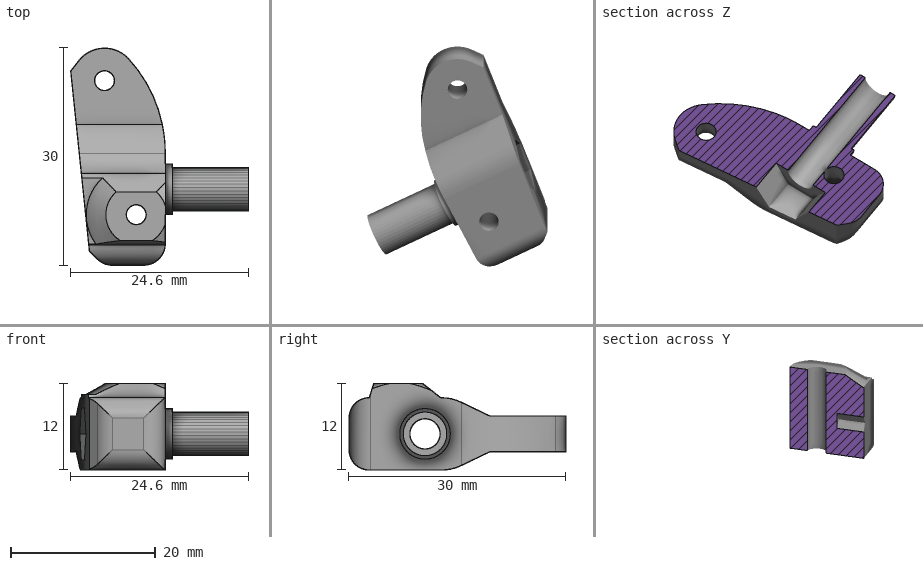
import cadquery as cq
import math


arm_end_y = -10.5
eye_x, eye_y = -8.4, 15.0
eye_radius = 4.5
back_start_y = 5.0
toe_radius = 3.0
toe_flat_x = -7.3
heel_corner = (-10.5, -8.55)
tip_corner = (-13.08, 16.3)

body_half_height = 5.0
tongue_half_height = 2.5
tongue_end_y = 8.95
shoulder_angle = 25.6
shoulder_radius = 6.3
end_round = 2.82

boss_x, boss_y = -4.02, -3.5
boss_top_z = 7.0
boss_step_z = 5.45
boss_top_radius = 4.2
boss_base_radius = 6.9
boss_foot_z = 4.8
boss_foot_y = (-7.77, 2.43)
boss_top_y = (-7.08, -0.35)

pin_hole_diameter = 2.7
bore_diameter = 4.15
hex_across_flats = 7.15
hex_floor_x = -7.05

collar_diameter = 7.0
collar_length = 0.95
shaft_end_x = 11.5
shaft_across_flats = 6.0
shaft_facets = 40


def point_on_circle(center, radius, angle):
    return (center[0] + radius * math.cos(angle), center[1] + radius * math.sin(angle))


def tangent_angle(point, center, radius, side):
    """Angle, seen from the center, of the tangent point of a line drawn from an outside point."""
    dx = point[0] - center[0]
    dy = point[1] - center[1]
    return math.atan2(dy, dx) + side * math.acos(radius / math.hypot(dx, dy))


def arm_outline():
    eye = (eye_x, eye_y)
    rise = eye_y - back_start_y
    back_radius = (rise ** 2 + eye_x ** 2 - eye_radius ** 2) / (2 * (-eye_x - eye_radius))
    back = (-back_radius, back_start_y)
    join_angle = math.atan2(rise, eye_x + back_radius)
    tip_angle = tangent_angle(tip_corner, eye, eye_radius, -1)

    toe_center_y = arm_end_y + toe_radius
    toe = (-toe_radius, toe_center_y)
    heel = (toe_flat_x, toe_center_y)
    heel_angle = tangent_angle(heel_corner, heel, toe_radius, 1)
    straight_down = -math.pi / 2
    heel_mid_angle = (heel_angle % (2 * math.pi) + straight_down + 2 * math.pi) / 2

    return (
        cq.Workplane("XY", origin=(0, 0, -body_half_height))
        .moveTo(toe_flat_x, arm_end_y)
        .lineTo(-toe_radius, arm_end_y)
        .threePointArc(point_on_circle(toe, toe_radius, -math.pi / 4), (0, toe_center_y))
        .lineTo(0, back_start_y)
        .threePointArc(
            point_on_circle(back, back_radius, join_angle / 2),
            point_on_circle(eye, eye_radius, join_angle),
        )
        .threePointArc(
            point_on_circle(eye, eye_radius, (join_angle + tip_angle) / 2),
            point_on_circle(eye, eye_radius, tip_angle),
        )
        .lineTo(*tip_corner)
        .lineTo(*heel_corner)
        .lineTo(*point_on_circle(heel, toe_radius, heel_angle))
        .threePointArc(
            point_on_circle(heel, toe_radius, heel_mid_angle),
            (toe_flat_x, arm_end_y),
        )
        .close()
    )


def side_extrusion(points):
    """Extrude a (Y, Z) outline along X across the full width of the arm."""
    return cq.Workplane("YZ", origin=(tip_corner[0], 0, 0)).polyline(points).close().extrude(-tip_corner[0])


def side_profile():
    slope = math.tan(math.radians(shoulder_angle))
    shoulder_y = tongue_end_y - (body_half_height - tongue_half_height) / slope
    tip_y = eye_y + eye_radius
    upper = [
        (arm_end_y, body_half_height),
        (shoulder_y, body_half_height),
        (tongue_end_y, tongue_half_height),
        (tip_y, tongue_half_height),
    ]
    lower = [(y, -z) for y, z in reversed(upper)]
    profile = side_extrusion(upper + lower)
    mid_x = tip_corner[0] / 2
    for y, radius in ((arm_end_y, end_round), (shoulder_y, shoulder_radius)):
        for z in (body_half_height, -body_half_height):
            corner = cq.selectors.NearestToPointSelector((mid_x, y, z))
            profile = profile.edges("|X").edges(corner).fillet(radius)
    return profile


def boss(outline_prism):
    """A flat step carrying a cone, cut at both ends by sloping walls and at the sides by the arm outline."""
    foot_front, foot_back = boss_foot_y
    top_front, top_back = boss_top_y
    step = side_extrusion([
        (foot_front, boss_foot_z),
        (foot_back, boss_foot_z),
        (foot_back, boss_step_z),
        (foot_front, boss_step_z),
    ])
    cone = (
        cq.Workplane("XY", origin=(boss_x, boss_y, boss_step_z))
        .circle(boss_base_radius)
        .workplane(offset=boss_top_z - boss_step_z)
        .circle(boss_top_radius)
        .loft()
    )
    wedge = side_extrusion([
        (foot_front, boss_foot_z),
        (top_front, boss_top_z),
        (top_back, boss_top_z),
        (foot_back, boss_foot_z),
    ])
    return step.union(cone).intersect(wedge).intersect(outline_prism)


def shaft():
    collar = cq.Workplane("YZ").circle(collar_diameter / 2).extrude(collar_length)
    half_facet = math.pi / shaft_facets
    shaft_diameter = shaft_across_flats / math.cos(half_facet)
    grip = (
        cq.Workplane("YZ")
        .transformed(rotate=(0, 0, math.degrees(half_facet)))
        .polygon(shaft_facets, shaft_diameter)
        .extrude(shaft_end_x)
    )
    return collar.union(grip)


def pin_hole(x, y):
    return (
        cq.Workplane("XY", origin=(x, y, -body_half_height))
        .circle(pin_hole_diameter / 2)
        .extrude(body_half_height + boss_top_z)
    )


def bore():
    start_x = tip_corner[0]
    return cq.Workplane("YZ", origin=(start_x, 0, 0)).circle(bore_diameter / 2).extrude(shaft_end_x - start_x)


def hex_pocket():
    across_corners = hex_across_flats / math.cos(math.pi / 6)
    return (
        cq.Workplane("YZ", origin=(tip_corner[0], 0, 0))
        .polygon(6, across_corners)
        .extrude(hex_floor_x - tip_corner[0])
    )


outline_prism = arm_outline().extrude(body_half_height + boss_top_z)
result = outline_prism.intersect(side_profile()).union(boss(outline_prism)).union(shaft())
for x, y in ((eye_x, eye_y), (boss_x, boss_y)):
    result = result.cut(pin_hole(x, y))
result = result.cut(hex_pocket()).cut(bore())